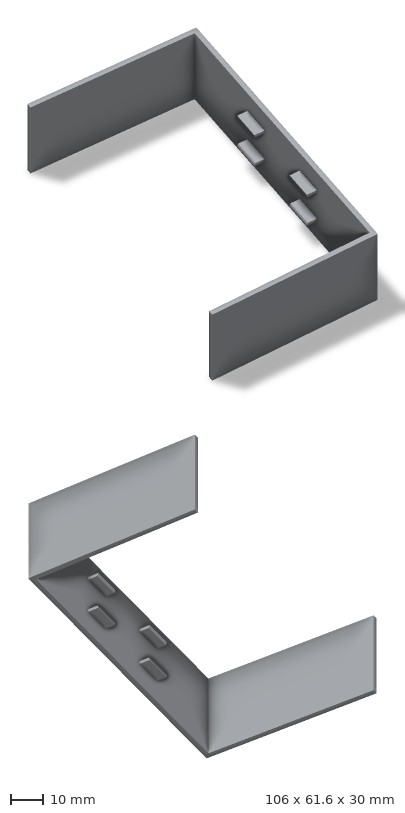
import cadquery as cq

overall_width = 106.0
depth = 61.6
height = 30.0
back_width = 103.8
wall = 1.8

tab_length = 9.9
tab_reach = 3.7
tab_thickness = 1.1
tab_outer_z = 7.0
tab_pitch = 30.0
tip_setback = 0.3

tip_radius = (tab_thickness**2 + tip_setback**2) / (2 * tip_setback)

back_outer_y = depth / 2
back_inner_y = back_outer_y - wall
front_y = -depth / 2


def make_body():
    """U-shaped outline extruded over the full height."""
    outer_back = back_width / 2
    outer_front = overall_width / 2
    outline = [
        (-outer_front, front_y),
        (-outer_back, back_outer_y),
        (outer_back, back_outer_y),
        (outer_front, front_y),
        (outer_front - wall, front_y),
        (outer_back - wall, back_inner_y),
        (-outer_back + wall, back_inner_y),
        (-outer_front + wall, front_y),
    ]
    return cq.Workplane("XY").polyline(outline).close().extrude(height / 2, both=True)


def make_tab(center_x, side):
    """Tab above (side = 1) or below (side = -1) mid height, rooted in the back wall."""
    tip_y = back_inner_y - tab_reach
    outer_z = side * tab_outer_z
    inner_z = side * (tab_outer_z - tab_thickness)
    return (
        cq.Workplane("YZ", origin=(center_x, 0, 0))
        .moveTo(back_outer_y, outer_z)
        .lineTo(tip_y, outer_z)
        .radiusArc((tip_y + tip_setback, inner_z), -side * tip_radius)
        .lineTo(back_outer_y, inner_z)
        .close()
        .extrude(tab_length / 2, both=True)
    )


result = make_body()
for x_side in (-1, 1):
    for z_side in (-1, 1):
        result = result.union(make_tab(x_side * tab_pitch / 2, z_side))